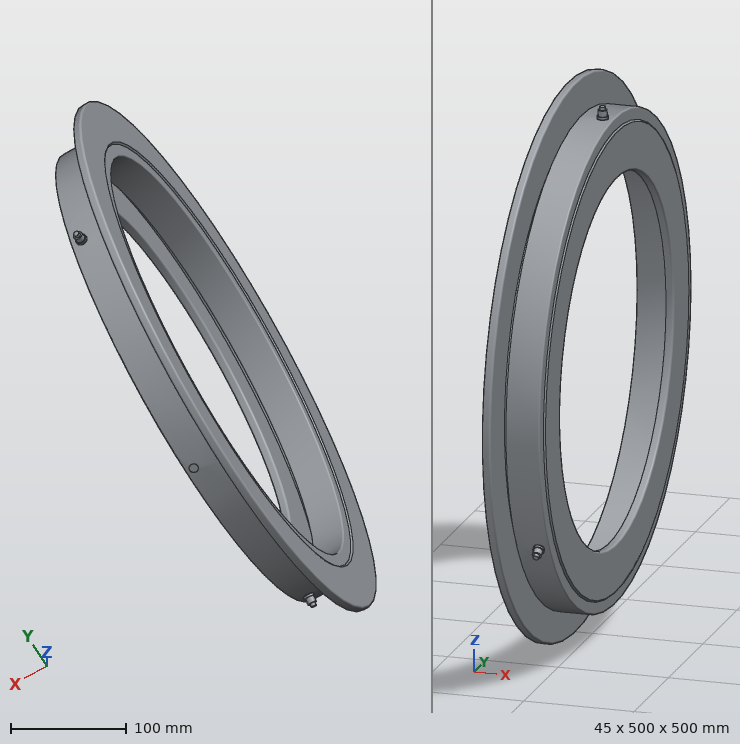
import cadquery as cq

outer_diameter = 500.0
width = 45.0
half_width = width / 2

plate_thickness = 8.0
plate_fillet = 2.0
plate_bore_radius = 166.0

plate_overhang = 1.5
end_gap = 4.5
inner_race_bore = 196.0
inner_race_radius = 209.5
outer_race_radius = 221.0
race_clearance = 0.5
race_fillet = 1.5
spigot_radius = inner_race_radius - plate_overhang
outer_race_bore = inner_race_radius + race_clearance
race_end = half_width - plate_overhang
race_start = half_width - plate_thickness - end_gap

nipple_count = 3
nipple_x = 10.5
nipple_tilt = 1.0
seat_depth = 0.5
base_radius = 5.0
base_height = 2.5
body_radius = 4.0
body_height = 5.5
tip_radius = 2.5
tip_height = 3.0
shank_radius = 3.0
shank_length = 6.0

plug_x = 13.0
plug_radius = 4.0
plug_protrusion = 0.5
plug_length = outer_race_radius + plug_protrusion - outer_race_bore
plug_angle = 180


def ring(inner_radius, outer_radius, x_start, x_end):
    """A plain ring around the X axis."""
    return (
        cq.Workplane("YZ", origin=(x_start, 0, 0))
        .circle(outer_radius)
        .circle(inner_radius)
        .extrude(x_end - x_start)
    )


def smallest_circles():
    return cq.selectors.RadiusNthSelector(0)


def largest_circles():
    return cq.selectors.RadiusNthSelector(-1)


def stud(x, radius, height, from_radius):
    """A cylinder along +Z above the X axis, starting at a distance from that axis."""
    return cq.Workplane("XY", origin=(x, 0, from_radius)).circle(radius).extrude(height)


def turned(shape, angle):
    """The shape turned around the X axis."""
    return shape.rotate((0, 0, 0), (1, 0, 0), angle)


def make_outer_plate():
    """The flange outside the inner race, its bore bevelled down to the end of that race."""
    plate = ring(spigot_radius, outer_diameter / 2, -half_width, plate_thickness - half_width)
    plate = plate.edges(largest_circles()).fillet(plate_fillet)
    return plate.faces("<X").edges(smallest_circles()).chamfer(plate_overhang)


def make_inner_plate():
    """The flange inside the outer race, its rim bevelled down to the end of that race."""
    plate = ring(plate_bore_radius, outer_race_bore, half_width - plate_thickness, half_width)
    plate = plate.edges(smallest_circles()).fillet(plate_fillet)
    return plate.faces(">X").edges(largest_circles()).chamfer(plate_overhang)


def make_inner_race():
    """The inner race, with a spigot and shoulder that locate the outer plate."""
    shoulder = plate_thickness - half_width
    spigot = ring(inner_race_bore, spigot_radius, -race_end, shoulder)
    race = ring(inner_race_bore, inner_race_radius, shoulder, race_start).union(spigot)
    return race.edges(smallest_circles()).fillet(race_fillet)


def make_outer_race():
    race = ring(outer_race_bore, outer_race_radius, -race_start, race_end)
    return race.edges(largest_circles()).fillet(race_fillet)


def make_nipple():
    """A stepped nipple pointing along +Z, its shank reaching into the outer race."""
    base_start = outer_race_radius - seat_depth
    body_start = base_start + base_height
    tip_start = body_start + body_height
    return (
        stud(nipple_x, shank_radius, shank_length, base_start - shank_length)
        .union(stud(nipple_x, base_radius, base_height, base_start))
        .union(stud(nipple_x, body_radius, body_height, body_start))
        .union(stud(nipple_x, tip_radius, tip_height, tip_start))
    )


outer_plate = make_outer_plate()
inner_plate = make_inner_plate()
inner_race = make_inner_race()
outer_race = make_outer_race()

plug = turned(stud(plug_x, plug_radius, plug_length, outer_race_bore), plug_angle)
outer_race = outer_race.cut(plug)

nipple_pitch = 360 / nipple_count
nipples = [turned(make_nipple(), nipple_tilt + index * nipple_pitch) for index in range(nipple_count)]
for nipple in nipples:
    outer_race = outer_race.cut(nipple)

result = cq.Compound.makeCompound(
    [outer_plate.val(), inner_plate.val(), inner_race.val(), outer_race.val(), plug.val()]
    + [nipple.val() for nipple in nipples]
)